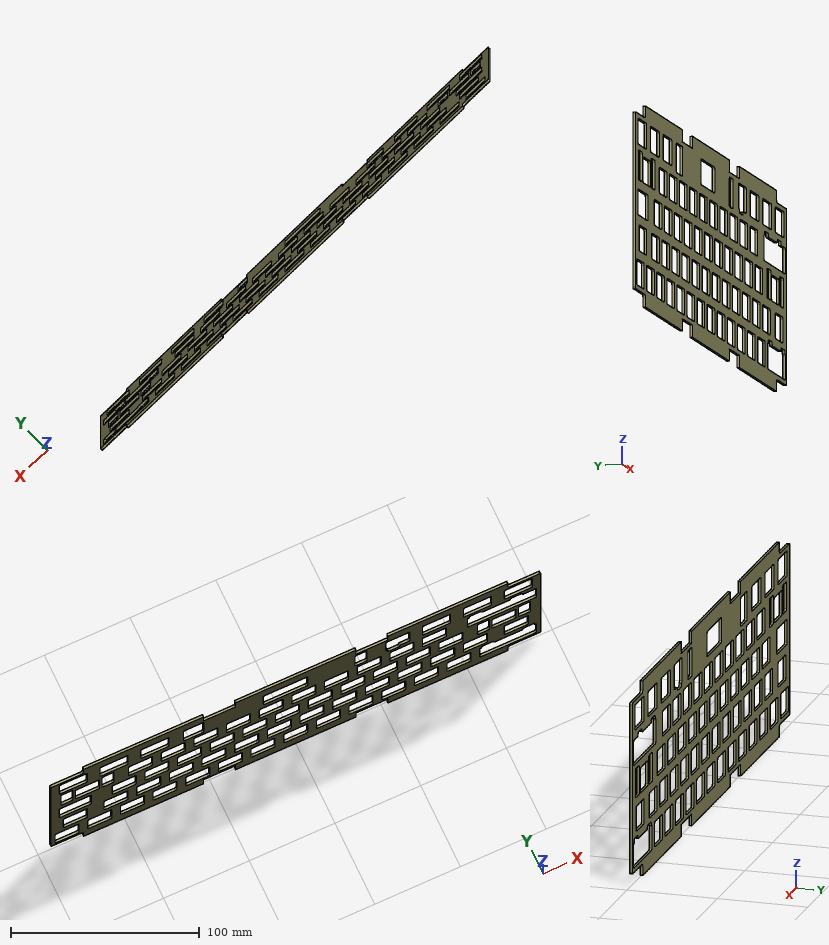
import cadquery as cq


length = 285.8
height = 108.3
thickness = 1.5
columns = 15
rows = 5
pitch = length / columns
body_height = rows * pitch
end_radius = 1.0
notch_radius = 1.7

end_notch_start = 123.7
middle_notch_start = 35.1
middle_notch_end = 53.7

cell_margin = 2.55
switch_size = pitch - 2 * cell_margin
half_switch = switch_size / 2
stab_width = switch_size / 2
stab_overhang = 2.05
stab_offset = 12.0
cutout_radius = 1.0

space_row, shift_row, home_row, tab_row, number_row = range(rows)

UP = 1
DOWN = -1


def key_x(units):
    """X of a position measured in key units from the left edge."""
    return units * pitch - length / 2


def row_z(row):
    """Z of the centre line of a row."""
    return ((rows - 1) / 2 - row) * pitch


def block(x_min, x_max, z_min, z_max):
    """Block through the plate thickness."""
    centre = ((x_min + x_max) / 2, 0, (z_min + z_max) / 2)
    return cq.Workplane("XY").box(x_max - x_min, thickness, z_max - z_min).translate(centre)


def round_corner(body, x, z, radius):
    """Round the one edge along Y that stands at x, z."""
    reach = 0.3
    low = (x - reach, -thickness, z - reach)
    high = (x + reach, thickness, z + reach)
    return body.edges(cq.selectors.BoxSelector(low, high)).fillet(radius)


def rounded_block(x_min, x_max, z_min, z_max):
    """Block with its four edges along Y rounded."""
    return block(x_min, x_max, z_min, z_max).edges("|Y").fillet(cutout_radius)


def switch_opening(row, first, last=None):
    """Switch opening, widened to take a switch anywhere from first to last."""
    last = first if last is None else last
    z = row_z(row)
    return rounded_block(
        key_x(first) - half_switch, key_x(last) + half_switch, z - half_switch, z + half_switch
    )


def stab_slot(row, x_first, x_last, side):
    """Stabilizer slot as tall as a switch opening plus an overhang on one side."""
    z = row_z(row)
    bottom = z - half_switch - (stab_overhang if side == DOWN else 0)
    top = z + half_switch + (stab_overhang if side == UP else 0)
    return rounded_block(x_first - stab_width / 2, x_last + stab_width / 2, bottom, top)


def stab_pair(row, centre):
    """Left and right stabilizer slots of a wide key."""
    positions = (key_x(centre) - stab_offset, key_x(centre) + stab_offset)
    return [stab_slot(row, x, x, UP) for x in positions]


def plate_blank():
    """Rectangle with notches along the top and bottom edges."""
    plate = block(-length / 2, length / 2, -height / 2, height / 2)
    notch_spans = [
        (-length / 2, -end_notch_start),
        (-middle_notch_end, -middle_notch_start),
        (middle_notch_start, middle_notch_end),
        (end_notch_start, length / 2),
    ]
    for x_min, x_max in notch_spans:
        plate = plate.cut(block(x_min, x_max, body_height / 2, height / 2))
        plate = plate.cut(block(x_min, x_max, -height / 2, -body_height / 2))

    for x, radius in [(end_notch_start, notch_radius), (length / 2, end_radius)]:
        for x_sign in (-1, 1):
            for z_sign in (-1, 1):
                plate = round_corner(plate, x_sign * x, z_sign * body_height / 2, radius)
    return plate


def single_openings():
    """Evenly spaced runs of one-switch openings, and the wider end keys of the tab row."""
    runs = [
        (shift_row, 2.75, 10),
        (home_row, 2.25, 11),
        (tab_row, 2.0, 12),
        (number_row, 0.5, 13),
        (tab_row, 0.75, 1),
        (tab_row, 14.25, 1),
    ]
    return [switch_opening(row, first + i) for row, first, count in runs for i in range(count)]


def widened_openings():
    """Openings that take a switch at either of two positions."""
    space_row_positions = [
        (0.625, 0.75),
        (1.875, 2.0),
        (3.125, 3.25),
        (6.875, 7.5),
        (11.75, 11.875),
        (13.0, 13.125),
        (14.25, 14.375),
    ]
    openings = [switch_opening(space_row, first, last) for first, last in space_row_positions]
    openings.append(switch_opening(home_row, 0.625, 0.875))
    return openings


def separate_stab_keys():
    """Wide keys whose stabilizer slots stand clear of the switch opening."""
    cutouts = []
    for row, centre in [(shift_row, 1.125), (home_row, 13.875)]:
        cutouts.append(switch_opening(row, centre))
        cutouts += stab_pair(row, centre)
    return cutouts


def merged_stab_keys():
    """Wide keys whose stabilizer slots run into a long switch opening."""
    keys = [
        (shift_row, 13.125, 14.5, 13.625),
        (number_row, 13.5, 14.5, 14.0),
    ]
    cutouts = []
    for row, first, last, centre in keys:
        cutout = switch_opening(row, first, last)
        for slot in stab_pair(row, centre):
            cutout = cutout.union(slot)
        inner_offset = stab_offset - stab_width / 2
        for x in (key_x(centre) - inner_offset, key_x(centre) + inner_offset):
            cutout = round_corner(cutout, x, row_z(row) + half_switch, cutout_radius)
        cutouts.append(cutout)
    return cutouts


def space_bar_stabs():
    """Stabilizer slots for two space bar lengths; the last one joins a switch opening."""
    left = stab_slot(space_row, key_x(4.25), key_x(4.5), DOWN)
    right = stab_slot(space_row, key_x(9.5), key_x(9.5), DOWN)
    far_x = key_x(10.5)
    far_right = stab_slot(space_row, far_x, far_x, DOWN).union(switch_opening(space_row, 10.625))
    inside_z = row_z(space_row) - half_switch
    far_right = round_corner(far_right, far_x + stab_width / 2, inside_z, cutout_radius)
    return [left, right, far_right]


cutouts = (
    single_openings()
    + widened_openings()
    + separate_stab_keys()
    + merged_stab_keys()
    + space_bar_stabs()
)
cutters = [cutout.val() for cutout in cutouts]

result = cq.Workplane(plate_blank().val().cut(*cutters)).solids()